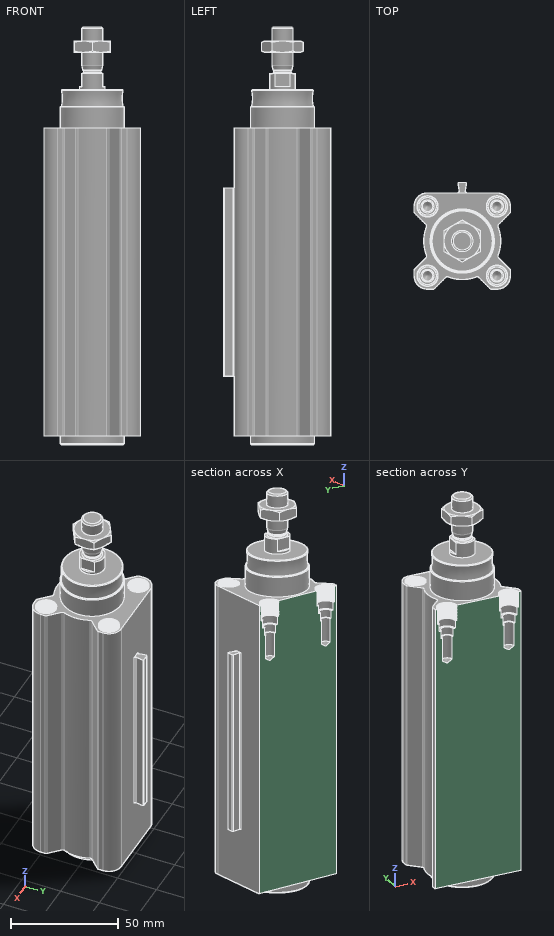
import cadquery as cq
import math

TOTAL_HEIGHT = 195.1
BARREL_BOTTOM = 4.0
BARREL_TOP = 147.9
COLLAR_STEP = 158.0
COLLAR_TOP = 165.8
SHOULDER_TOP = 173.2
FLAT_BOTTOM = 167.2
GROOVE_TOP = 175.0
THREAD_BOTTOM = 177.2
NUT_BOTTOM = 183.2
NUT_TOP = 188.5

BARREL_SIDE = 45.0
HOLE_SPACING = 32.4
CORNER_RADIUS = (BARREL_SIDE - HOLE_SPACING) / 2
TUBE_DIAMETER = 36.0
ARM_WIDTH = 13.0
ARM_EDGE_RADIUS = 1.0

HOLE_MOUTH_DIAMETER = 10.0
HOLE_RIDGE_DIAMETER = 9.5
RIDGE_PITCH = 0.8
RIDGE_COUNT = 10
HOLE_STEPS = [(8.2, 11.7), (6.0, 15.6), (4.9, 27.3)]
DRILL_TIP_HALF_ANGLE = 59

COLLAR_DIAMETER = 30.0
UPPER_COLLAR_DIAMETER = 28.9
WAIST_DIAMETER = 28.0
COLLAR_CHAMFER = 0.4
END_CAP_CHAMFER = 0.5

OVERALL_DEPTH = 50.0
RAIL_WIDTH = 4.0
RAIL_NECK_WIDTH = 3.0
RAIL_FOOT_DEPTH = 0.5
RAIL_CHAMFER = 0.4
RAIL_BOTTOM = 32.0
RAIL_TOP = 120.0

ROD_DIAMETER = 12.0
THREAD_DIAMETER = 10.0
TAPER_END_DIAMETER = 9.0
GROOVE_DIAMETER = 8.2
GROOVE_FOOT_DIAMETER = 9.5
GROOVE_FLANK_HEIGHT = 0.5
ROD_FLATS = 10.0
THREAD_CHAMFER = 0.8

NUT_FLATS = 17.0
NUT_CORNER_DIAMETER = NUT_FLATS / math.cos(math.radians(30))
NUT_CHAMFER_HEIGHT = 0.5
NUT_CHAMFER_WIDTH = (NUT_CORNER_DIAMETER - NUT_FLATS) / 2


def disc(diameter, bottom, top):
    return cq.Workplane("XY").workplane(offset=bottom).circle(diameter / 2).extrude(top - bottom)


def make_barrel():
    """Round tube with four diagonal arms and a flat +Y face, trimmed to a rounded square."""
    height = BARREL_TOP - BARREL_BOTTOM
    base = cq.Workplane("XY").workplane(offset=BARREL_BOTTOM)
    barrel = disc(TUBE_DIAMETER, BARREL_BOTTOM, BARREL_TOP)
    for angle in (45, 135):
        arm = base.rect(2 * BARREL_SIDE, ARM_WIDTH).extrude(height)
        barrel = barrel.union(arm.rotate((0, 0, 0), (0, 0, 1), angle))
    flat_center = (BARREL_SIDE - CORNER_RADIUS) / 2
    flat_side = base.center(0, flat_center).rect(HOLE_SPACING, CORNER_RADIUS).extrude(height)
    barrel = barrel.union(flat_side)
    envelope = base.rect(BARREL_SIDE, BARREL_SIDE).extrude(height).edges("|Z").fillet(CORNER_RADIUS)
    barrel = barrel.intersect(envelope)
    corner_arc_start = math.hypot(BARREL_SIDE, HOLE_SPACING) / 2
    sharp_edges = barrel.edges("|Z").filter(
        lambda edge: math.hypot(edge.Center().x, edge.Center().y) < corner_arc_start - ARM_EDGE_RADIUS
    )
    return sharp_edges.fillet(ARM_EDGE_RADIUS)


def make_mounting_hole():
    """Blind hole on the Z axis: ring-grooved mouth, narrower steps and a drill point."""
    last_diameter, last_depth = HOLE_STEPS[-1]
    tip_depth = last_depth + last_diameter / 2 / math.tan(math.radians(DRILL_TIP_HALF_ANGLE))
    profile = cq.Workplane("XZ").moveTo(0, BARREL_TOP)
    profile = profile.lineTo(HOLE_MOUTH_DIAMETER / 2, BARREL_TOP)
    for ridge in range(RIDGE_COUNT):
        ridge_z = BARREL_TOP - (ridge + 0.5) * RIDGE_PITCH
        profile = profile.lineTo(HOLE_RIDGE_DIAMETER / 2, ridge_z)
        profile = profile.lineTo(HOLE_MOUTH_DIAMETER / 2, ridge_z - RIDGE_PITCH / 2)
    depth_above = RIDGE_COUNT * RIDGE_PITCH
    for diameter, depth in HOLE_STEPS:
        profile = profile.lineTo(diameter / 2, BARREL_TOP - depth_above)
        profile = profile.lineTo(diameter / 2, BARREL_TOP - depth)
        depth_above = depth
    profile = profile.lineTo(0, BARREL_TOP - tip_depth).close()
    return profile.revolve(360, (0, 0), (0, 1))


def make_collars():
    """Front collar with a slightly waisted upper part, and the end cap below the barrel."""
    rim_z = COLLAR_TOP - COLLAR_CHAMFER
    front = (
        cq.Workplane("XZ")
        .moveTo(0, BARREL_TOP)
        .lineTo(COLLAR_DIAMETER / 2, BARREL_TOP)
        .lineTo(COLLAR_DIAMETER / 2, COLLAR_STEP - COLLAR_CHAMFER)
        .lineTo(COLLAR_DIAMETER / 2 - COLLAR_CHAMFER, COLLAR_STEP)
        .lineTo(UPPER_COLLAR_DIAMETER / 2, COLLAR_STEP)
        .threePointArc(
            (WAIST_DIAMETER / 2, (COLLAR_STEP + rim_z) / 2),
            (UPPER_COLLAR_DIAMETER / 2, rim_z),
        )
        .lineTo(UPPER_COLLAR_DIAMETER / 2 - COLLAR_CHAMFER, COLLAR_TOP)
        .lineTo(0, COLLAR_TOP)
        .close()
        .revolve(360, (0, 0), (0, 1))
    )
    end_cap = disc(COLLAR_DIAMETER, 0, BARREL_BOTTOM).faces("<Z").chamfer(END_CAP_CHAMFER)
    return front.union(end_cap)


def make_rail():
    """Rail on the +Y face: flanks that narrow toward a flared foot, and a chamfered crown."""
    foot_y = BARREL_SIDE / 2
    head_y = OVERALL_DEPTH - BARREL_SIDE / 2
    neck_y = foot_y + RAIL_FOOT_DEPTH
    half_side = [
        (RAIL_WIDTH / 2, foot_y),
        (RAIL_NECK_WIDTH / 2, neck_y),
        (RAIL_WIDTH / 2, head_y - RAIL_CHAMFER),
        (RAIL_WIDTH / 2 - RAIL_CHAMFER, head_y),
    ]
    mirrored_side = [(-x, y) for x, y in reversed(half_side)]
    return (
        cq.Workplane("XY")
        .workplane(offset=RAIL_BOTTOM)
        .polyline(half_side + mirrored_side)
        .close()
        .extrude(RAIL_TOP - RAIL_BOTTOM)
    )


def make_housing():
    housing = make_barrel().union(make_collars()).union(make_rail())
    hole = make_mounting_hole()
    for x in (-HOLE_SPACING / 2, HOLE_SPACING / 2):
        for y in (-HOLE_SPACING / 2, HOLE_SPACING / 2):
            housing = housing.cut(hole.translate((x, y, 0)))
    return housing


def make_neck():
    """Taper below the thread, then a groove between two conical flanks."""
    return (
        cq.Workplane("XZ")
        .moveTo(0, SHOULDER_TOP)
        .lineTo(GROOVE_FOOT_DIAMETER / 2, SHOULDER_TOP)
        .lineTo(GROOVE_DIAMETER / 2, SHOULDER_TOP + GROOVE_FLANK_HEIGHT)
        .lineTo(GROOVE_DIAMETER / 2, GROOVE_TOP - GROOVE_FLANK_HEIGHT)
        .lineTo(TAPER_END_DIAMETER / 2, GROOVE_TOP)
        .lineTo(THREAD_DIAMETER / 2, THREAD_BOTTOM)
        .lineTo(0, THREAD_BOTTOM)
        .close()
        .revolve(360, (0, 0), (0, 1))
    )


def make_rod():
    """Shoulder with two wrench flats, grooved neck and threaded end."""
    shoulder = disc(ROD_DIAMETER, COLLAR_TOP, SHOULDER_TOP)
    flat_height = SHOULDER_TOP - FLAT_BOTTOM
    flat_cut_depth = (ROD_DIAMETER - ROD_FLATS) / 2
    for side in (-1, 1):
        cutter = cq.Workplane("XY").box(flat_cut_depth, ROD_DIAMETER, flat_height)
        cutter_x = side * (ROD_FLATS + flat_cut_depth) / 2
        shoulder = shoulder.cut(cutter.translate((cutter_x, 0, (SHOULDER_TOP + FLAT_BOTTOM) / 2)))
    neck = make_neck()
    thread = disc(THREAD_DIAMETER, THREAD_BOTTOM, TOTAL_HEIGHT).faces(">Z").chamfer(THREAD_CHAMFER)
    return shoulder.union(neck).union(thread)


def make_nut():
    """Hexagon nut with flats facing X and corners chamfered on both faces."""
    blank = (
        cq.Workplane("XY")
        .workplane(offset=NUT_BOTTOM)
        .polygon(6, NUT_CORNER_DIAMETER)
        .extrude(NUT_TOP - NUT_BOTTOM)
        .rotate((0, 0, 0), (0, 0, 1), 30)
    )
    chamfered_disc = (
        disc(NUT_CORNER_DIAMETER, NUT_BOTTOM, NUT_TOP)
        .faces("<Z or >Z")
        .chamfer(NUT_CHAMFER_HEIGHT, NUT_CHAMFER_WIDTH)
    )
    return blank.intersect(chamfered_disc).cut(disc(THREAD_DIAMETER, NUT_BOTTOM, NUT_TOP))


housing = make_housing()
rod = make_rod()
nut = make_nut()

result = cq.Compound.makeCompound([housing.solids().val(), rod.solids().val(), nut.solids().val()])